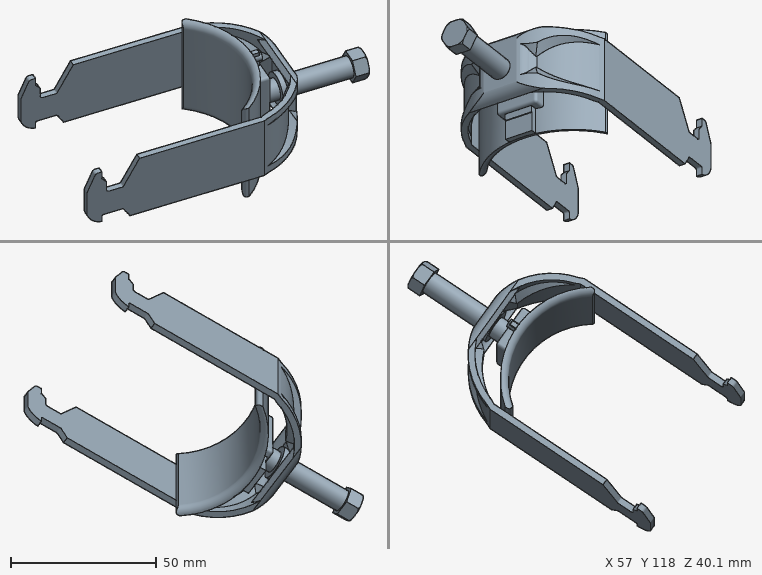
import cadquery as cq
import math


STRAP_WIDTH = 57.0
STRAP_HEIGHT = 24.8
SHEET = 2.4
CROWN_TOP_Y = 89.2
CROWN_RADIUS = 28.8
CROWN_CENTER_Y = 61.2
SHOULDER_Y = 69.1
LEG_TOP_Y = 67.3
HALF_WIDTH = STRAP_WIDTH / 2
HALF_HEIGHT = STRAP_HEIGHT / 2

DROOP = 3.5
DROOP_BULGE = 2.2
LIP_RUN = SHEET * math.sqrt(0.5)
LIP_BULGE_Y = 0.4
LIP_BULGE_Z = 0.2

COLLAR_RADIUS = 6.1
COLLAR_LENGTH = 2.1

TIP_TOP_Z = 3.9
TIP_BOTTOM_Z = -6.1
TIP_BULGE = (1.7, -9.1)
HOOK_BACK_Y = 5.7
HOOK_BOTTOM_Z = -11.2
HOOK_TOP = (3.3, 11.3)
HOOK_BARB_Z = 8.1
THROAT = (7.4, 6.1)
NECK_TOP_Z = 1.7
NECK_BOTTOM_Z = -8.3
NECK_START_Y = 13.7
UPPER_CORNER_Y = 20.0
LOWER_CORNER_Y = 16.3
SMALL_ROUND = 0.6
THROAT_ROUND = 1.0
HOOK_ROUND = 1.2
TIP_ROUND = 1.4

EMBOSS_TOP = (7.3, CROWN_TOP_Y)
EMBOSS_SHOULDER = (9.1, 88.1)
EMBOSS_WALL = (10.1, 86.6)
EMBOSS_STEP = (11.8, 84.3)
EMBOSS_MID = (21.0, 78.2)
EMBOSS_TOP_HALF = 6.7
EMBOSS_NECK_HALF = 1.0
EMBOSS_FOOT_HALF = 8.5
EMBOSS_TOP_SPREAD = 2.5
EMBOSS_NECK_SPREAD = 8.3
EMBOSS_FOOT_SPREAD = 3.8
EMBOSS_WALL_START = -1.2
EMBOSS_WALL_END = 4.7
EMBOSS_OVERRUN = 1.2
BUMP_SINK = 2.4
BUMP_GROWTH = 1.4
EDGE_MARGIN = 0.1

PAD_WIDTH = 16.5
PAD_HEIGHT = 24.3
PAD_Y = 79.1
PAD_DEPTH = 7.1
PAD_ROUND = 1.1
FOOT_WIDTH = 10.9
FOOT_Y = 77.5
FOOT_STEP_Y = 77.9
FOOT_STEP_Z = -14.8
WEB_WIDTH = 1.8
WEB_Y = 78.2
STUD_RADIUS = 1.5
STUD_Y = PAD_Y
STUD_Z = 15.5

BOLT_Z = -1.4
BOLT_END_Y = 118.0
SHANK_RADIUS = 4.0
HEAD_ACROSS_FLATS = 10.0
HEAD_HEIGHT = 5.4
HEAD_CHAMFER = 0.6

SADDLE_HEIGHT = 40.1
SADDLE_CENTER_Z = -2.0
SADDLE_SIDE_GAP = 0.06
SADDLE_WIDTH = STRAP_WIDTH - 2 * (SHEET + SADDLE_SIDE_GAP)
SADDLE_RADIUS = 32.7
SADDLE_THICKNESS = 2.8
SADDLE_TOP_Y = 75.6
SADDLE_END_Y = 60.8
SADDLE_END_ROUND = 1.1
SADDLE_LIP_ROUND = 2.7


def disc(radius, top_y, length):
    """Cylinder on the bolt axis, reaching from top_y towards -Y."""
    return cq.Workplane("XZ", origin=(0, top_y, BOLT_Z)).circle(radius).extrude(length)


def crown_point(radius, y):
    """Point on the +X side of a crown circle at the given Y."""
    return (math.sqrt(radius**2 - (y - CROWN_CENTER_Y) ** 2), y)


def mirrored_x(point):
    return (-point[0], point[1])


def crown_block(inset):
    """Everything under the crown, its outline moved inwards by the inset."""
    radius = CROWN_RADIUS - inset
    diagonal = radius * math.sqrt(0.5)
    mid = (diagonal, CROWN_CENTER_Y + diagonal)
    shoulder = crown_point(radius, SHOULDER_Y)
    flat_end = crown_point(radius, CROWN_TOP_Y - inset)
    leg_top = (HALF_WIDTH - inset, LEG_TOP_Y)
    return (
        cq.Workplane("XY")
        .moveTo(*mirrored_x(leg_top))
        .lineTo(*mirrored_x(shoulder))
        .threePointArc(mirrored_x(mid), mirrored_x(flat_end))
        .lineTo(*flat_end)
        .threePointArc(mid, shoulder)
        .lineTo(*leg_top)
        .close()
        .extrude(HALF_HEIGHT, both=True)
    )


def droop_outer():
    """Block whose top edges are rounded like the outside of the crown."""
    bend_z = HALF_HEIGHT - DROOP
    lip_y = CROWN_TOP_Y - DROOP
    mid_y = lip_y + DROOP_BULGE
    mid_z = bend_z + DROOP_BULGE
    return (
        cq.Workplane("YZ")
        .moveTo(LEG_TOP_Y, -HALF_HEIGHT)
        .lineTo(lip_y, -HALF_HEIGHT)
        .threePointArc((mid_y, -mid_z), (CROWN_TOP_Y, -bend_z))
        .lineTo(CROWN_TOP_Y, bend_z)
        .threePointArc((mid_y, mid_z), (lip_y, HALF_HEIGHT))
        .lineTo(LEG_TOP_Y, HALF_HEIGHT)
        .close()
        .extrude(HALF_WIDTH, both=True)
    )


def droop_inner():
    """Block that fills the inside of the crown, down to the slanted lips."""
    top_y = CROWN_TOP_Y - SHEET
    bend_z = HALF_HEIGHT - DROOP
    lip_y = CROWN_TOP_Y - DROOP
    inner_y = lip_y - LIP_RUN
    inner_z = HALF_HEIGHT - LIP_RUN
    mid_y = (top_y + inner_y) / 2 + LIP_BULGE_Y
    mid_z = (bend_z + inner_z) / 2 + LIP_BULGE_Z
    return (
        cq.Workplane("YZ")
        .moveTo(LEG_TOP_Y, -HALF_HEIGHT)
        .lineTo(lip_y, -HALF_HEIGHT)
        .lineTo(inner_y, -inner_z)
        .threePointArc((mid_y, -mid_z), (top_y, -bend_z))
        .lineTo(top_y, bend_z)
        .threePointArc((mid_y, mid_z), (inner_y, inner_z))
        .lineTo(lip_y, HALF_HEIGHT)
        .lineTo(LEG_TOP_Y, HALF_HEIGHT)
        .close()
        .extrude(HALF_WIDTH, both=True)
    )


def emboss_walls(sink, growth):
    """Wedge between the sloping side walls: narrow at the neck, wide at the foot, on the +X shoulder."""
    foot = crown_point(CROWN_RADIUS, SHOULDER_Y)
    run_x = foot[0] - EMBOSS_TOP[0]
    run_y = foot[1] - EMBOSS_TOP[1]
    length = math.hypot(run_x, run_y)
    neck = (EMBOSS_STEP[0] - EMBOSS_TOP[0]) * length / run_x
    shoulder_plane = cq.Plane(
        origin=(*EMBOSS_TOP, 0), xDir=(run_x, run_y, 0), normal=(-run_y, run_x, 0)
    )

    def section(spread):
        top_half = EMBOSS_TOP_HALF + growth + spread * EMBOSS_TOP_SPREAD
        neck_half = EMBOSS_NECK_HALF + growth + spread * EMBOSS_NECK_SPREAD
        foot_half = EMBOSS_FOOT_HALF + growth + spread * EMBOSS_FOOT_SPREAD
        foot_half = min(foot_half, HALF_HEIGHT - EDGE_MARGIN)
        half = [(-EMBOSS_OVERRUN, top_half), (neck, neck_half), (length, foot_half)]
        return half + [(along, -across) for along, across in reversed(half)]

    start = EMBOSS_WALL_START - sink
    return (
        cq.Workplane(shoulder_plane)
        .workplane(offset=start)
        .polyline(section(0))
        .close()
        .workplane(offset=EMBOSS_WALL_END - start)
        .polyline(section(1))
        .close()
        .loft(ruled=True)
    )


def emboss_outside(inset):
    """Everything outside the emboss floor, which is moved inwards by the inset."""
    shift = inset * math.sqrt(0.5)

    def shifted(point):
        return (point[0] - shift, point[1] - shift)

    return (
        cq.Workplane("XY")
        .moveTo(*shifted(EMBOSS_TOP))
        .threePointArc(shifted(EMBOSS_SHOULDER), shifted(EMBOSS_WALL))
        .lineTo(*shifted(EMBOSS_STEP))
        .threePointArc(shifted(EMBOSS_MID), crown_point(CROWN_RADIUS - inset, SHOULDER_Y))
        .lineTo(HALF_WIDTH, SHOULDER_Y)
        .lineTo(HALF_WIDTH, CROWN_TOP_Y)
        .close()
        .extrude(HALF_HEIGHT, both=True)
    )


def make_crown():
    skin = crown_block(0).intersect(droop_outer())
    crown = skin.cut(crown_block(SHEET).intersect(droop_inner()))
    bump = emboss_walls(BUMP_SINK, BUMP_GROWTH).intersect(emboss_outside(SHEET)).intersect(skin)
    pocket = emboss_walls(0, 0).intersect(emboss_outside(0))
    for side_bump, side_pocket in ((bump, pocket), (bump.mirror("YZ"), pocket.mirror("YZ"))):
        crown = crown.union(side_bump, clean=False).cut(side_pocket, clean=False)
    collar_top = CROWN_TOP_Y - SHEET / 2
    return crown.union(disc(COLLAR_RADIUS, collar_top, COLLAR_LENGTH + SHEET / 2), clean=False)


def make_leg():
    """Flat leg with its hook, as a plate that starts at X = 0."""
    throat_y = THROAT[0]
    plate = (
        cq.Workplane("YZ")
        .moveTo(LEG_TOP_Y, HALF_HEIGHT)
        .lineTo(UPPER_CORNER_Y, HALF_HEIGHT)
        .lineTo(NECK_START_Y, NECK_TOP_Z)
        .lineTo(throat_y, NECK_TOP_Z)
        .lineTo(*THROAT)
        .lineTo(HOOK_BACK_Y, HOOK_BARB_Z)
        .lineTo(HOOK_BACK_Y, HOOK_TOP[1])
        .lineTo(*HOOK_TOP)
        .lineTo(0, TIP_TOP_Z)
        .lineTo(0, TIP_BOTTOM_Z)
        .threePointArc(TIP_BULGE, (HOOK_BACK_Y, HOOK_BOTTOM_Z))
        .lineTo(HOOK_BACK_Y, NECK_BOTTOM_Z)
        .lineTo(NECK_START_Y, NECK_BOTTOM_Z)
        .lineTo(LOWER_CORNER_Y, -HALF_HEIGHT)
        .lineTo(LEG_TOP_Y, -HALF_HEIGHT)
        .close()
        .extrude(SHEET)
    )
    rounded_corners = [
        ((NECK_START_Y, NECK_TOP_Z), SMALL_ROUND),
        ((throat_y, NECK_TOP_Z), THROAT_ROUND),
        (THROAT, SMALL_ROUND),
        (HOOK_TOP, HOOK_ROUND),
        ((0, TIP_TOP_Z), TIP_ROUND),
        ((0, TIP_BOTTOM_Z), TIP_ROUND),
        ((HOOK_BACK_Y, NECK_BOTTOM_Z), SMALL_ROUND),
        ((NECK_START_Y, NECK_BOTTOM_Z), SMALL_ROUND),
    ]
    for corner, radius in rounded_corners:
        nearest = cq.selectors.NearestToPointSelector((SHEET / 2, *corner))
        plate = plate.edges(nearest).fillet(radius)
    return plate


def make_strap():
    strap = make_crown()
    for left_x in (-HALF_WIDTH, HALF_WIDTH - SHEET):
        strap = strap.union(make_leg().translate((left_x, 0, 0)), clean=False)
    bolt_hole = disc(SHANK_RADIUS, CROWN_TOP_Y, CROWN_TOP_Y - PAD_Y)
    return strap.cut(bolt_hole, clean=False)


def make_bolt():
    across_corners = HEAD_ACROSS_FLATS / math.cos(math.pi / 6)
    hexagon = (
        cq.Workplane("XZ", origin=(0, BOLT_END_Y, BOLT_Z))
        .polygon(6, across_corners)
        .extrude(HEAD_HEIGHT)
    )
    chamfered = disc(across_corners / 2, BOLT_END_Y, HEAD_HEIGHT).faces(">Y").chamfer(HEAD_CHAMFER)
    shank = disc(SHANK_RADIUS, BOLT_END_Y - HEAD_HEIGHT, BOLT_END_Y - HEAD_HEIGHT - PAD_Y)
    return hexagon.intersect(chamfered).union(shank)


def saddle_cylinder(radius):
    return (
        cq.Workplane("XY", origin=(0, SADDLE_TOP_Y - SADDLE_RADIUS, SADDLE_CENTER_Z))
        .circle(radius)
        .extrude(SADDLE_HEIGHT / 2, both=True)
    )


def make_saddle():
    ring = saddle_cylinder(SADDLE_RADIUS).cut(saddle_cylinder(SADDLE_RADIUS - SADDLE_THICKNESS))
    arch_box = cq.Workplane("XY", origin=(0, SADDLE_END_Y, SADDLE_CENTER_Z)).box(
        SADDLE_WIDTH, SADDLE_RADIUS, SADDLE_HEIGHT, centered=(True, False, True)
    )
    saddle = ring.intersect(arch_box)
    for x in (-SADDLE_WIDTH / 2, SADDLE_WIDTH / 2):
        end_corner = cq.selectors.NearestToPointSelector((x, SADDLE_END_Y, SADDLE_CENTER_Z))
        saddle = saddle.edges("|Z").edges(end_corner).fillet(SADDLE_END_ROUND)
    for end_face in (">Z", "<Z"):
        inner_edge = saddle.faces(end_face).edges(cq.selectors.RadiusNthSelector(1))
        saddle = inner_edge.fillet(SADDLE_LIP_ROUND)
    return saddle


def block(width, back_y, front_y, bottom_z, top_z):
    """Box centred on X = 0, between two Y values and two Z values."""
    return cq.Workplane("XY", origin=(0, back_y, bottom_z)).box(
        width, front_y - back_y, top_z - bottom_z, centered=(True, False, False)
    )


def make_pad():
    """Rounded block on the back of the saddle, with a foot, a web and a stud."""
    saddle_bottom = SADDLE_CENTER_Z - SADDLE_HEIGHT / 2
    saddle_top = SADDLE_CENTER_Z + SADDLE_HEIGHT / 2
    back = PAD_Y - PAD_DEPTH
    body = block(PAD_WIDTH, back, PAD_Y, -PAD_HEIGHT / 2, PAD_HEIGHT / 2)
    body = body.edges("|Y").fillet(PAD_ROUND).faces(">Y").edges().fillet(PAD_ROUND)
    foot = block(FOOT_WIDTH, back, FOOT_Y, saddle_bottom, BOLT_Z)
    foot_step = block(FOOT_WIDTH, back, FOOT_STEP_Y, FOOT_STEP_Z, BOLT_Z)
    web = block(WEB_WIDTH, back, WEB_Y, BOLT_Z, saddle_top)
    stud = cq.Workplane("XZ", origin=(0, STUD_Y, STUD_Z)).circle(STUD_RADIUS).extrude(STUD_Y - back)
    pad = body.union(foot).union(foot_step).union(web).union(stud)
    return pad.cut(saddle_cylinder(SADDLE_RADIUS))


strap = make_strap()
bolt = make_bolt()
saddle = make_saddle()
pad = make_pad()

bodies = [strap, bolt, saddle, pad]
result = cq.Compound.makeCompound([body.solids().val() for body in bodies])